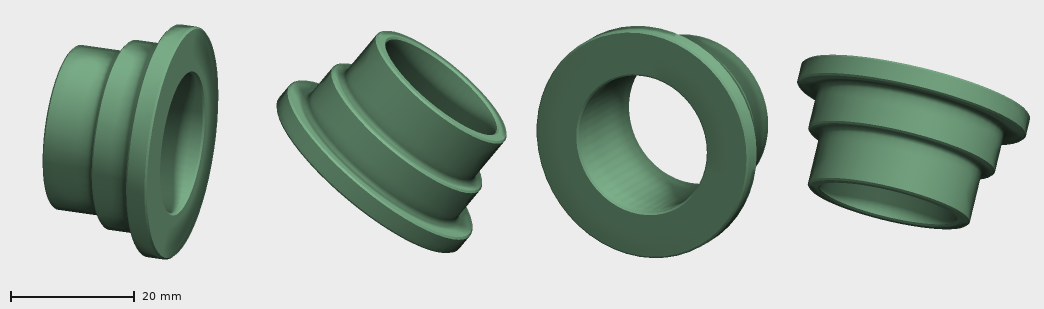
import cadquery as cq

bore_diameter = 22.9
nose_diameter = 26.9
shoulder_diameter = 31.0
flange_diameter = 38.0
nose_length = 9.0
shoulder_length = 7.0
flange_thickness = 3.5
edge_chamfer = 0.3
root_fillet = 0.8

shoulder_start = nose_length
flange_start = shoulder_start + shoulder_length


def disc(start, length, diameter):
    """Cylinder along X with both rims chamfered."""
    cylinder = cq.Workplane("YZ", origin=(start, 0, 0)).circle(diameter / 2).extrude(length)
    return cylinder.edges().chamfer(edge_chamfer)


def root(face_x, diameter):
    """Concave fillet ring where a cylinder meets the larger step's face."""
    radius = diameter / 2
    middle = root_fillet * (1 - 0.5 ** 0.5)
    profile = (
        cq.Workplane("XY")
        .moveTo(face_x, 0)
        .lineTo(face_x, radius + root_fillet)
        .threePointArc((face_x - middle, radius + middle), (face_x - root_fillet, radius))
        .lineTo(face_x - root_fillet, 0)
        .close()
    )
    return profile.revolve(360, (0, 0, 0), (1, 0, 0))


body = disc(0, nose_length + shoulder_length, nose_diameter)
body = body.union(disc(shoulder_start, shoulder_length + flange_thickness / 2, shoulder_diameter))
body = body.union(disc(flange_start, flange_thickness, flange_diameter))
body = body.union(root(shoulder_start, nose_diameter))
body = body.union(root(flange_start, shoulder_diameter))

total_length = flange_start + flange_thickness
bore = cq.Workplane("YZ").circle(bore_diameter / 2).extrude(total_length)
result = body.cut(bore)
for end in ("<X", ">X"):
    bore_rim = result.faces(end).edges(cq.selectors.RadiusNthSelector(0))
    result = bore_rim.chamfer(edge_chamfer)